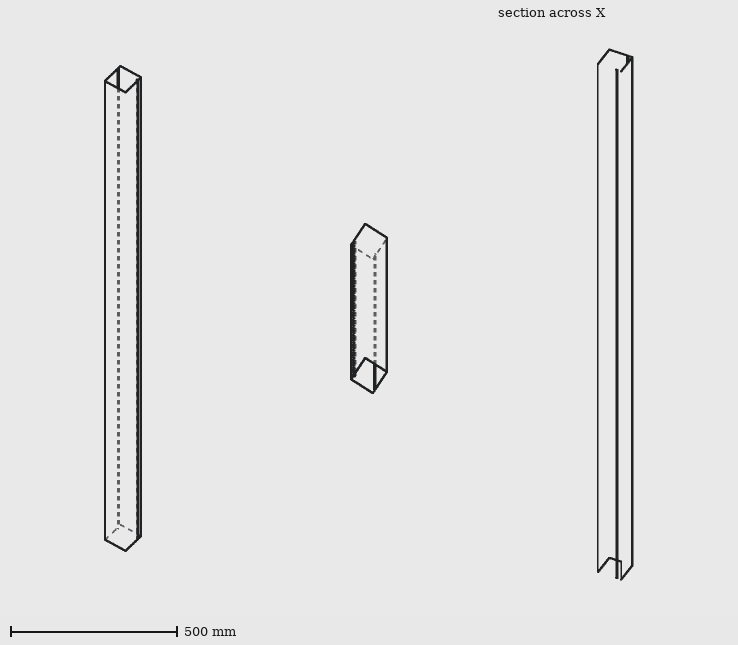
import cadquery as cq

width = 80.0
depth = 79.98
length = 2000.0

wall = 2.0
corner_radius = 2.0
inner_radius = 0.5
cover_depth = 13.5

taper_length = 4.5
taper_inset = 0.9

rim_reach = 6.0
rim_thickness = 5.0

half_width = width / 2
front_y = -depth / 2
back_y = depth / 2
joint_y = back_y - cover_depth


def block(x_min, x_max, y_min, y_max):
    """Full-length bar over a rectangle of the section."""
    return (
        cq.Workplane("XY")
        .rect(x_max - x_min, y_max - y_min)
        .extrude(length)
        .translate(((x_min + x_max) / 2, (y_min + y_max) / 2, 0))
    )


def tube():
    """Rounded square tube shared by the channel and its cover."""
    outer = block(-half_width, half_width, front_y, back_y).edges("|Z").fillet(corner_radius)
    inner = block(-half_width + wall, half_width - wall, front_y + wall, back_y - wall)
    inner = inner.edges("|Z").fillet(inner_radius)
    return outer.cut(inner)


def make_channel():
    """Deep channel with a solid snap rim along the top of each side wall."""
    body = tube().intersect(block(-half_width, half_width, front_y, joint_y))
    for side in (-1, 1):
        ends = sorted((side * half_width, side * (half_width - rim_reach)))
        body = body.union(block(*ends, joint_y - rim_thickness, joint_y))
    return body


def make_cover():
    """Shallow cover that closes the +Y side and rests on the channel rims."""
    body = tube().intersect(block(-half_width, half_width, joint_y, back_y))
    for side in (-1, 1):
        taper = (
            cq.Workplane("XY")
            .moveTo(side * half_width, joint_y)
            .lineTo(side * half_width, joint_y + taper_length)
            .lineTo(side * (half_width - taper_inset), joint_y)
            .close()
            .extrude(length)
        )
        body = body.cut(taper)
    return body


channel = make_channel()
cover = make_cover()
result = cq.Compound.makeCompound([channel.val(), cover.val()])